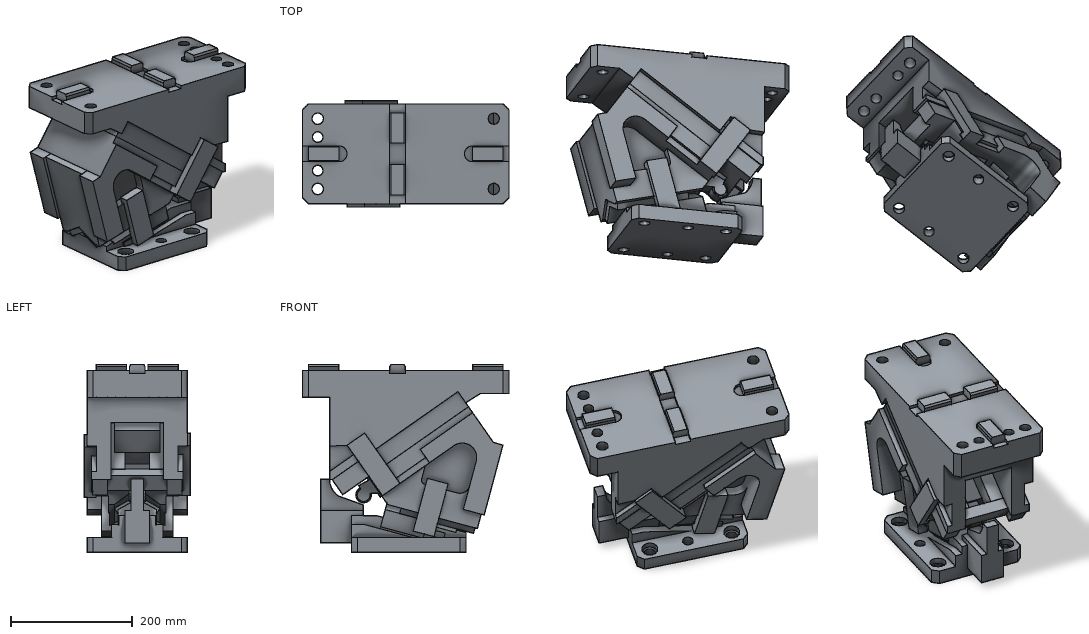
import cadquery as cq
import math

SLIDE_ANGLE = 35.0
SLIDE_ORIGIN = (49.0, 119.5)
DRIVE_ANGLE = -15.0
DRIVE_ORIGIN = (142.8, 78.0)
ROOF_ANGLE = 30.0


def frame_point(origin, angle, along, away):
    """X, Z of a point given along and away from a line tilted by angle."""
    cosine = math.cos(math.radians(angle))
    sine = math.sin(math.radians(angle))
    return (origin[0] + along * cosine - away * sine, origin[1] + along * sine + away * cosine)


def slide(s, n):
    return frame_point(SLIDE_ORIGIN, SLIDE_ANGLE, s, n)


def drive(t, m):
    return frame_point(DRIVE_ORIGIN, DRIVE_ANGLE, t, m)


def prism(points, y_low, y_high):
    """Extrude an X-Z outline from y_low to y_high."""
    plane = cq.Workplane("XZ", origin=(0, y_low, 0))
    return plane.polyline(points).close().extrude(y_low - y_high)


def block(frame, along, away, y_range):
    """Box tilted into a frame; each argument after the frame is a (low, high) pair."""
    corners = [
        frame(along[0], away[0]),
        frame(along[1], away[0]),
        frame(along[1], away[1]),
        frame(along[0], away[1]),
    ]
    return prism(corners, *y_range)


def box(x_range, y_range, z_range):
    size = [high - low for low, high in (x_range, y_range, z_range)]
    corner = (x_range[0], y_range[0], z_range[0])
    return cq.Workplane("XY").box(*size, centered=False).translate(corner)


def both_sides(solid):
    return solid.union(solid.mirror("XZ"))


LENGTH = 340.0
HALF_WIDTH = 82.3
CORNER = 10.0
TOTAL_WIDTH = 175.0
TOTAL_HEIGHT = 309.0
CLEARANCE = 3.5
KEY_RISE = 10.0
TOP_Z = TOTAL_HEIGHT - KEY_RISE
SCREW_HOLE = 18.5
DOWEL_HOLE = 17.0

RAIL_HEIGHT = 30.3
RAIL_Y = (49.0, 73.5)
SLIDE_END = 252.5
SLIDER_START = 51.5
SLIDER_BOTTOM = -69.0
STEP_N = -58.0
WIDE_Y = 73.5
STEP_Y = 68.0
BODY_Y = 47.5
GROOVE_Y = 67.0
LIP_Y = 75.5
LIP_TOP = 13.5
HOOK_TOP = 32.3
KEEPER_END = 87.7
KEEPER_WIDTH = 35.0
KEEPER_OUT = TOTAL_WIDTH / 2
FAR_KEEPER_SHIFT = -4.5

LEG_X = 45.0
LEG_INNER_Y = 43.0
CHANNEL_TOP = 214.0
CHANNEL_END = 187.0
GUIDE_START = 12.2
GUIDE_SLOT_S = (31.3, 88.7)
GUIDE_SLOT_Y = 20.0
GUIDE_RECESS = 1.0
GUIDE_RECESS_END = 164.5
BUMPER_S = (79.0, 102.7)
BUMPER_Y = 37.7
BUMPER_TOP = 43.5
LEFT_UNDERSIDE = 255.0
RIGHT_UNDERSIDE = 261.0
STOP_X = 293.0
STOP_DEPTH = 22.5
NOTCH_TOP = 174.8
SLOT_DEPTH = 5.0
KEY_WIDTH = 26.0
KEY_LENGTH = 50.0
KEY_CHAMFER_SIDE = 2.0
KEY_CHAMFER_TOP = 3.7
CROSS_SLOT_X = 156.5
CROSS_KEY_Y = 42.5
END_KEY_X = CORNER + KEY_LENGTH / 2
END_SLOT_LENGTH = 60.5
PLATE_HOLE_X = 25.0
SCREW_Y = 57.8
DOWEL_Y = 27.5


def plate_key():
    """Key along X centred over the origin, its lower part in a slot; two top edges chamfered."""
    half = KEY_WIDTH / 2
    outline = [
        (-half, -SLOT_DEPTH),
        (half, -SLOT_DEPTH),
        (half, KEY_RISE - KEY_CHAMFER_TOP),
        (half - KEY_CHAMFER_SIDE, KEY_RISE),
        (KEY_CHAMFER_SIDE - half, KEY_RISE),
        (-half, KEY_RISE - KEY_CHAMFER_TOP),
    ]
    key = cq.Workplane("YZ").polyline(outline).close().extrude(KEY_LENGTH / 2, both=True)
    return key.translate((0, 0, TOP_Z))


def end_slot():
    """Round-ended slot open at the -X end of the plate."""
    slot_box = box((0, END_SLOT_LENGTH), (-KEY_WIDTH / 2, KEY_WIDTH / 2), (TOP_Z - SLOT_DEPTH, TOP_Z))
    round_end = cq.Workplane("XY", origin=(END_SLOT_LENGTH, 0, TOP_Z - SLOT_DEPTH))
    return slot_box.union(round_end.circle(KEY_WIDTH / 2).extrude(SLOT_DEPTH))


def mirrored_in_x(solid):
    return solid.mirror("YZ").translate((LENGTH, 0, 0))


def keeper_notch():
    """Side recess in which the upper keeper hooks over the lip."""
    outline = [
        (LEG_X, SLIDE_ORIGIN[1] - CLEARANCE),
        (LEG_X, NOTCH_TOP),
        slide(KEEPER_END - KEEPER_WIDTH, HOOK_TOP),
        slide(KEEPER_END, HOOK_TOP),
        slide(KEEPER_END, 0),
        slide(0, 0),
    ]
    notch = prism(outline, GROOVE_Y, HALF_WIDTH + CLEARANCE)
    lip = block(slide, (-LEG_X, KEEPER_END), (-LEG_X, LIP_TOP), (GROOVE_Y, LIP_Y))
    return notch.cut(lip)


def slide_guide():
    """Two rails joined by a slotted cross plate that carries a bumper in the channel."""
    rail = block(slide, (0, SLIDE_END), (-RAIL_HEIGHT, 0), RAIL_Y)
    plate = block(slide, (GUIDE_START, SLIDE_END), (-RAIL_HEIGHT, 0), (-RAIL_Y[0], RAIL_Y[0]))
    slot = block(slide, GUIDE_SLOT_S, (-RAIL_HEIGHT, 0), (-GUIDE_SLOT_Y, GUIDE_SLOT_Y))
    recess_s = (GUIDE_SLOT_S[0], GUIDE_RECESS_END)
    recess = block(slide, recess_s, (-GUIDE_RECESS, 0), (-LEG_INNER_Y, LEG_INNER_Y))
    bumper = block(slide, BUMPER_S, (-GUIDE_RECESS, BUMPER_TOP), (-BUMPER_Y, BUMPER_Y))
    return plate.cut(slot).cut(recess).union(both_sides(rail)).union(bumper)


def make_holder():
    outline = [
        (0, TOP_Z),
        (0, LEFT_UNDERSIDE),
        (LEG_X, LEFT_UNDERSIDE),
        (LEG_X, SLIDE_ORIGIN[1]),
        slide(0, 0),
        slide(SLIDE_END, 0),
        slide(SLIDE_END, -STOP_DEPTH),
        (STOP_X, RIGHT_UNDERSIDE),
        (LENGTH, RIGHT_UNDERSIDE),
        (LENGTH, TOP_Z),
    ]
    holder = prism(outline, -HALF_WIDTH, HALF_WIDTH)
    corners = box((0, LENGTH), (-HALF_WIDTH, HALF_WIDTH), (0, TOP_Z)).edges("|Z").chamfer(CORNER)
    holder = holder.intersect(corners)
    channel = box((0, CHANNEL_END), (-LEG_INNER_Y, LEG_INNER_Y), (0, CHANNEL_TOP))
    holder = holder.cut(channel).cut(both_sides(keeper_notch()))
    holder = holder.union(slide_guide())

    cross_slot = box(
        (CROSS_SLOT_X - KEY_WIDTH / 2, CROSS_SLOT_X + KEY_WIDTH / 2),
        (-HALF_WIDTH, HALF_WIDTH),
        (TOP_Z - SLOT_DEPTH, TOP_Z),
    )
    holder = holder.cut(cross_slot).cut(end_slot()).cut(mirrored_in_x(end_slot()))
    end_key = plate_key().translate((END_KEY_X, 0, 0))
    holder = holder.union(end_key).union(mirrored_in_x(end_key))
    cross_key = plate_key().rotate((0, 0, 0), (0, 0, 1), 90)
    holder = holder.union(both_sides(cross_key.translate((CROSS_SLOT_X, CROSS_KEY_Y, 0))))

    screws = [(x, y) for x in (PLATE_HOLE_X, LENGTH - PLATE_HOLE_X) for y in (-SCREW_Y, SCREW_Y)]
    dowels = [(PLATE_HOLE_X, -DOWEL_Y), (PLATE_HOLE_X, DOWEL_Y)]
    depth = TOP_Z - LEFT_UNDERSIDE
    top = cq.Workplane("XY", origin=(0, 0, TOP_Z))
    holder = holder.cut(top.pushPoints(screws).circle(SCREW_HOLE / 2).extrude(-depth))
    return holder.cut(top.pushPoints(dowels).circle(DOWEL_HOLE / 2).extrude(-depth))


BODY_END = 150.3
FLANGE_START = 147.2
FLANGE_TOP = -42.0
SHOULDER_N = -101.5
HEEL_T = (119.7, 155.5)
HEEL_M = (24.5, 143.5)
ARCH_RADIUS = 23.8
POCKET_START = 40.5
POCKET_BOTTOM = 48.0
POCKET_Y = 30.5
POCKET_NEAR_RADIUS = 6.8
POCKET_FAR_RADIUS = 17.0
ROOF_HALF_WIDTH = 37.5
LINER_THICKNESS = 11.0
LINER_T = (20.5, 146.2)
HOOK_CENTRE = (100.5, 94.2)
HOOK_RADIUS = 13.0
ARM_TOP_NEAR = (92.5, 109.8)
ARM_TOP_FAR = (114.5, 121.7)
ARM_UNDERSIDE = (113.5, 97.0)
HOOK_INNER_Y = 10.2
HOOK_RIM_RADIUS = 10.5
HOOK_Y = 13.3


def distance_along(angle, start, end):
    """Distance from start to end measured along a direction tilted by angle."""
    tilt = math.radians(angle)
    return (end[0] - start[0]) * math.cos(tilt) + (end[1] - start[1]) * math.sin(tilt)


FRAME_COSINE = math.cos(math.radians(SLIDE_ANGLE - DRIVE_ANGLE))


def meets_underside(t):
    """s at which the wide part's underside crosses the given t."""
    start = distance_along(DRIVE_ANGLE, DRIVE_ORIGIN, slide(0, SLIDER_BOTTOM))
    return (t - start) / FRAME_COSINE


def t_at_slide(s):
    """t at which the body's underside, m = 0, crosses the given s."""
    start = distance_along(SLIDE_ANGLE, SLIDE_ORIGIN, DRIVE_ORIGIN)
    return (s - start) / FRAME_COSINE


def drive_bar(outline, t_range):
    """Extrude a Y-m cross-section along the drive direction."""
    x, z = drive(t_range[0], 0)
    direction = (math.cos(math.radians(DRIVE_ANGLE)), 0, math.sin(math.radians(DRIVE_ANGLE)))
    plane = cq.Plane(origin=(x, 0, z), xDir=(0, 1, 0), normal=direction)
    return cq.Workplane(plane).polyline(outline).close().extrude(t_range[1] - t_range[0])


def roof(peak_m, half_width, t_range, floor_m):
    """Ridge along t: two 30 degree slopes falling from peak_m, cut at half_width and floor_m."""
    eave = peak_m - half_width * math.tan(math.radians(ROOF_ANGLE))
    outline = [
        (-half_width, floor_m),
        (-half_width, eave),
        (0, peak_m),
        (half_width, eave),
        (half_width, floor_m),
    ]
    return drive_bar(outline, t_range)


SLIDER_PEAK = ROOF_HALF_WIDTH * math.tan(math.radians(ROOF_ANGLE))
BASE_PEAK = SLIDER_PEAK - LINER_THICKNESS / math.cos(math.radians(ROOF_ANGLE))
LINER_FOOT_Y = ROOF_HALF_WIDTH - LINER_THICKNESS * math.sin(math.radians(ROOF_ANGLE))
LINER_FOOT_M = -LINER_THICKNESS * math.cos(math.radians(ROOF_ANGLE))


def liner():
    """Inverted-V wear plate under the slider's roof."""
    outline = [
        (-ROOF_HALF_WIDTH, 0),
        (0, SLIDER_PEAK),
        (ROOF_HALF_WIDTH, 0),
        (LINER_FOOT_Y, LINER_FOOT_M),
        (0, BASE_PEAK),
        (-LINER_FOOT_Y, LINER_FOOT_M),
    ]
    return drive_bar(outline, LINER_T)


def arch_corner():
    return slide(meets_underside(HEEL_T[0]), SLIDER_BOTTOM)


def edge_at(solid, point):
    """The cross edge of a prism that passes through an X-Z point."""
    middle_y = solid.val().Center().y
    return solid.edges(cq.selectors.NearestToPointSelector((point[0], middle_y, point[1])))


def side_arch():
    """Side flange that turns down into the heel, with a rounded inner corner."""
    outline = [
        slide(FLANGE_START, FLANGE_TOP),
        slide(SLIDE_END, FLANGE_TOP),
        slide(SLIDE_END, SHOULDER_N),
        drive(HEEL_T[1], HEEL_M[1]),
        drive(HEEL_T[1], HEEL_M[0]),
        drive(HEEL_T[0], HEEL_M[0]),
        arch_corner(),
        slide(FLANGE_START, SLIDER_BOTTOM),
    ]
    return edge_at(prism(outline, BODY_Y, HALF_WIDTH), arch_corner()).fillet(ARCH_RADIUS)


def side_pocket():
    """Rounded pocket in the body's side that takes the lower keeper's hook."""
    near_bottom = drive(POCKET_START, POCKET_BOTTOM)
    far_bottom = drive(HEEL_T[0], POCKET_BOTTOM)
    near_top = slide(meets_underside(POCKET_START), SLIDER_BOTTOM)
    pocket = prism([near_bottom, far_bottom, arch_corner(), near_top], POCKET_Y, HALF_WIDTH)
    pocket = edge_at(pocket, near_bottom).fillet(POCKET_NEAR_RADIUS)
    pocket = edge_at(pocket, far_bottom).fillet(POCKET_FAR_RADIUS)
    pocket = edge_at(pocket, arch_corner()).fillet(ARCH_RADIUS)
    return pocket.intersect(box((0, LENGTH), (POCKET_Y, BODY_Y), (0, TOP_Z)))


def upper_keeper():
    """Plate on the slider's side whose top hooks into the holder's groove."""
    along = (KEEPER_END - KEEPER_WIDTH, KEEPER_END)
    plate = block(slide, along, (SLIDER_BOTTOM, HOOK_TOP), (LIP_Y, KEEPER_OUT))
    hook = block(slide, along, (LIP_TOP, HOOK_TOP), (GROOVE_Y, LIP_Y))
    foot = block(slide, along, (SLIDER_BOTTOM, STEP_N), (STEP_Y, LIP_Y))
    return plate.union(hook).union(foot)


def return_hook():
    """Rounded nose on an arm that reaches out of the slider's near end."""
    arm_outline = [
        ARM_TOP_NEAR,
        ARM_TOP_FAR,
        slide(SLIDER_START + CLEARANCE, SLIDER_BOTTOM + CLEARANCE),
        ARM_UNDERSIDE,
        HOOK_CENTRE,
    ]
    arm = prism(arm_outline, -HOOK_Y, HOOK_Y)
    nose_plane = cq.Workplane("XZ", origin=(HOOK_CENTRE[0], 0, HOOK_CENTRE[1]))
    nose = nose_plane.circle(HOOK_RADIUS).extrude(HOOK_INNER_Y, both=True)
    rim = nose_plane.circle(HOOK_RIM_RADIUS).extrude(HOOK_Y, both=True)
    return arm.union(nose).union(rim)


def make_slider():
    along = (SLIDER_START, SLIDE_END)
    wide = block(slide, along, (STEP_N, -RAIL_HEIGHT), (-WIDE_Y, WIDE_Y))
    stepped = block(slide, along, (SLIDER_BOTTOM, STEP_N), (-STEP_Y, STEP_Y))
    body_outline = [
        slide(SLIDER_START, SLIDER_BOTTOM),
        drive(t_at_slide(SLIDER_START), 0),
        drive(BODY_END, 0),
        drive(BODY_END, HEEL_M[1]),
        slide(SLIDE_END, SHOULDER_N),
        slide(SLIDE_END, SLIDER_BOTTOM),
    ]
    body = prism(body_outline, -BODY_Y, BODY_Y)
    slider = wide.union(stepped).union(body).union(both_sides(side_arch()))
    slider = slider.cut(both_sides(side_pocket()))

    slider = slider.cut(roof(SLIDER_PEAK, ROOF_HALF_WIDTH, (-LENGTH, LENGTH), -LENGTH / 2))
    slider = slider.union(liner())

    far_keeper = upper_keeper().translate((
        FAR_KEEPER_SHIFT * math.cos(math.radians(SLIDE_ANGLE)),
        0,
        FAR_KEEPER_SHIFT * math.sin(math.radians(SLIDE_ANGLE)),
    ))
    slider = slider.union(far_keeper).union(upper_keeper().mirror("XZ"))
    return slider.union(return_hook())


BASE_X = (80.5, 269.3)
BASE_THICKNESS = 24.5
CORE_Y = 30.3
CORE_TOP = 60.2
CORE_FLAT_END = 123.0
LEDGE_Y = 42.0
LEDGE_TOP = 45.5
LEDGE_FLAT_END = 102.0
GUIDE_Y = 31.3
GUIDE_T = (-4.5, 117.5)
GUIDE_FLOOR = -38.5
WIDE_GUIDE_START = 68.0
END_STOP_M = -11.0
FIXING_Y = 62.5
FIXING_INSET = 24.5
BASE_DOWEL_X = 170.0
COUNTERBORE = 26.0
COUNTERBORE_DEPTH = 10.2
BAR_X = (30.0, 100.3)
BAR_BOTTOM = 15.3
BAR_SHOULDER = 68.7
BAR_TOP = 120.5
BAR_WIDE_Y = 20.5
BAR_NARROW_Y = 10.5
BAR_HOLLOW_MIDDLE = (49.0, 104.0)
BAR_HOLLOW_END = (58.8, 92.8)
BAR_END_TOP = 78.0
LOWER_KEEPER_T = (49.3, 84.5)
LOWER_KEEPER_M = (-31.3, 58.5)
LOWER_HOOK_Y = 42.0
LOWER_FOOT_Y = 45.5
LUG_END = 101.0
LUG_TOP = -21.0
LOWER_KEEPER_OUT = 58.8


def falling_step(top, flat_end, half_width):
    """Step that is flat at first and then falls with the drive angle."""
    fall_length = BASE_X[1] - flat_end
    far_z = top + fall_length * math.tan(math.radians(DRIVE_ANGLE))
    outline = [(BASE_X[0], 0), (BASE_X[0], top), (flat_end, top), (BASE_X[1], far_z), (BASE_X[1], 0)]
    return prism(outline, -half_width, half_width)


def return_bar():
    """T-section bar at the base's near end with a hollow top under the slider's hook."""
    wide = box(BAR_X, (-BAR_WIDE_Y, BAR_WIDE_Y), (BAR_BOTTOM, BAR_SHOULDER))
    side = cq.Workplane("XZ", origin=(0, -BAR_NARROW_Y, 0)).moveTo(BAR_X[0], BAR_BOTTOM)
    side = side.lineTo(BAR_X[0], BAR_TOP).lineTo(LEG_X, BAR_TOP)
    side = side.threePointArc(BAR_HOLLOW_MIDDLE, BAR_HOLLOW_END).lineTo(BAR_X[1], BAR_END_TOP)
    narrow = side.lineTo(BAR_X[1], BAR_BOTTOM).close().extrude(-2 * BAR_NARROW_Y)
    return wide.union(narrow)


def lower_keeper():
    """Plate lugged to the base's side; its top hooks into the slider's pocket."""
    plate = block(drive, LOWER_KEEPER_T, LOWER_KEEPER_M, (BODY_Y, LOWER_KEEPER_OUT))
    hook = block(drive, LOWER_KEEPER_T, (POCKET_BOTTOM, LOWER_KEEPER_M[1]), (LOWER_HOOK_Y, BODY_Y))
    foot = block(drive, LOWER_KEEPER_T, (LOWER_KEEPER_M[0], 0), (LOWER_FOOT_Y, BODY_Y))
    lug_t = (LOWER_KEEPER_T[0], LUG_END)
    lug = block(drive, lug_t, (LOWER_KEEPER_M[0], LUG_TOP), (LEDGE_Y, LOWER_FOOT_Y))
    return plate.union(hook).union(foot).union(lug)


def make_base():
    plate = box(BASE_X, (-HALF_WIDTH, HALF_WIDTH), (0, BASE_THICKNESS)).edges("|Z").chamfer(CORNER)
    base = plate.union(falling_step(LEDGE_TOP, LEDGE_FLAT_END, LEDGE_Y))
    base = base.union(falling_step(CORE_TOP, CORE_FLAT_END, CORE_Y))
    base = base.union(roof(BASE_PEAK, GUIDE_Y, GUIDE_T, GUIDE_FLOOR))
    base = base.union(roof(BASE_PEAK, LEDGE_Y, (WIDE_GUIDE_START, GUIDE_T[1]), GUIDE_FLOOR))
    stop = block(drive, (GUIDE_T[1], LENGTH), (-BASE_X[1], END_STOP_M), (-LEDGE_Y, LEDGE_Y))
    base = base.union(stop.intersect(box(BASE_X, (-LEDGE_Y, LEDGE_Y), (0, TOP_Z))))
    base = base.union(return_bar()).union(both_sides(lower_keeper()))

    top = cq.Workplane("XY", origin=(0, 0, BASE_THICKNESS))
    screw_xs = (BASE_X[0] + FIXING_INSET, BASE_X[1] - FIXING_INSET)
    screws = [(x, y) for x in screw_xs for y in (-FIXING_Y, FIXING_Y)]
    dowels = [(BASE_DOWEL_X, -FIXING_Y), (BASE_DOWEL_X, FIXING_Y)]
    base = base.cut(top.pushPoints(screws).circle(SCREW_HOLE / 2).extrude(-BASE_THICKNESS))
    base = base.cut(top.pushPoints(screws).circle(COUNTERBORE / 2).extrude(-COUNTERBORE_DEPTH))
    return base.cut(top.pushPoints(dowels).circle(DOWEL_HOLE / 2).extrude(-BASE_THICKNESS))


holder = make_holder()
slider = make_slider()
base = make_base()

result = cq.Compound.makeCompound([
    *holder.solids().vals(),
    *slider.solids().vals(),
    *base.solids().vals(),
])